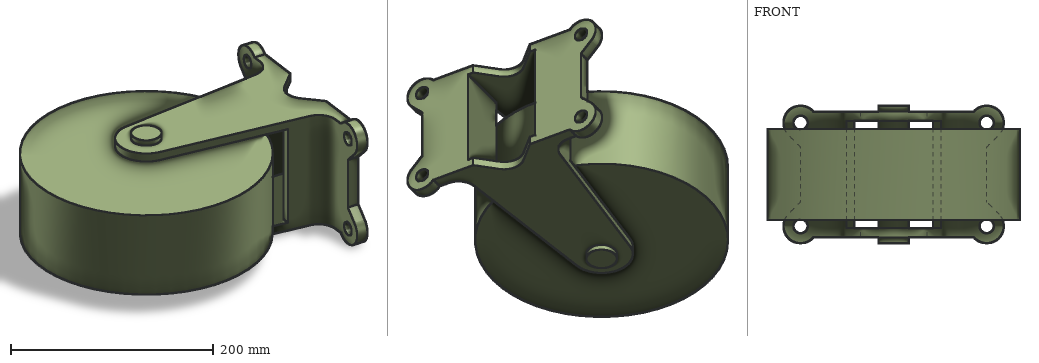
import cadquery as cq
import math

wheel_radius = 125.0
wheel_width = 90.0
axle_radius = 15.0
total_height = 136.0

total_length = 315.0
back_y = total_length - wheel_radius
fork_height = 124.0
arm_thickness = 9.0
arm_end_radius = 31.0
arm_taper = math.radians(6.6)
clearance_height = fork_height - 2 * arm_thickness
web_depth = 54.0
web_window_width = 77.8

plate_thickness = 12.3
plate_front_y = back_y - plate_thickness
plate_fillet = 20.0
notch_half_width = 32.8
notch_fillet = 20.0
ear_radius = 17.0
ear_hole_radius = 7.0
ear_x = 92.0
ear_z = total_height / 2 - ear_radius


def box_between(half_x, y_min, y_max, height):
    """Box centred on X and Z, spanning the given Y range."""
    middle_y = (y_min + y_max) / 2
    return cq.Workplane("XY").box(2 * half_x, y_max - y_min, height).translate((0, middle_y, 0))


def fork_block():
    """Tapered arm outline, notched and filleted into the plate, at full fork height."""
    tangent_x = arm_end_radius * math.cos(arm_taper)
    tangent_y = -arm_end_radius * math.sin(arm_taper)
    root_x = tangent_x + (plate_front_y - tangent_y) * math.tan(arm_taper)
    outline = (
        cq.Workplane("XY")
        .workplane(offset=-fork_height / 2)
        .moveTo(-tangent_x, tangent_y)
        .threePointArc((0, -arm_end_radius), (tangent_x, tangent_y))
        .lineTo(root_x, plate_front_y)
        .lineTo(ear_x, plate_front_y)
        .lineTo(ear_x, back_y)
        .lineTo(notch_half_width, back_y)
        .lineTo(0, back_y - notch_half_width)
        .lineTo(-notch_half_width, back_y)
        .lineTo(-ear_x, back_y)
        .lineTo(-ear_x, plate_front_y)
        .lineTo(-root_x, plate_front_y)
        .close()
        .extrude(fork_height)
    )
    root_edges = cq.selectors.BoxSelector(
        (-root_x - 3, plate_front_y - 3, -3), (root_x + 3, plate_front_y + 3, 3)
    )
    notch_edge = cq.selectors.BoxSelector(
        (-3, back_y - notch_half_width - 3, -3), (3, back_y - notch_half_width + 3, 3)
    )
    return outline.edges(root_edges).fillet(plate_fillet).edges(notch_edge).fillet(notch_fillet)


def cut_wheel_clearance(fork):
    """Open the space between the arms and the window through the web behind it."""
    web_front_y = back_y - web_depth
    clearance = box_between(wheel_radius, -wheel_radius, web_front_y, clearance_height)
    window = box_between(web_window_width / 2, web_front_y, back_y, clearance_height)
    return fork.cut(clearance).cut(window)


def ear(side_x, side_z):
    """Round mounting ear with a 45-degree flank running back to the plate edge."""
    offset = ear_radius * math.sin(math.radians(45))
    flank_x = ear_x + offset
    flank_z = ear_z - offset
    plane = cq.Workplane("XZ", origin=(0, back_y, 0))
    disc = plane.center(side_x * ear_x, side_z * ear_z).circle(ear_radius).extrude(plate_thickness)
    flank = (
        plane.moveTo(side_x * ear_x, side_z * ear_z)
        .lineTo(side_x * flank_x, side_z * flank_z)
        .lineTo(side_x * ear_x, side_z * (flank_z - offset))
        .close()
        .extrude(plate_thickness)
    )
    return disc.union(flank)


def ear_hole(side_x, side_z):
    return (
        cq.Workplane("XZ", origin=(0, back_y, 0))
        .center(side_x * ear_x, side_z * ear_z)
        .circle(ear_hole_radius)
        .extrude(plate_thickness)
    )


def centred_cylinder(radius, height):
    return cq.Workplane("XY").circle(radius).extrude(height / 2, both=True)


result = cut_wheel_clearance(fork_block())
for side_x in (-1, 1):
    for side_z in (-1, 1):
        result = result.union(ear(side_x, side_z)).cut(ear_hole(side_x, side_z))

result = result.union(centred_cylinder(axle_radius, total_height))
result = result.union(centred_cylinder(wheel_radius, wheel_width))